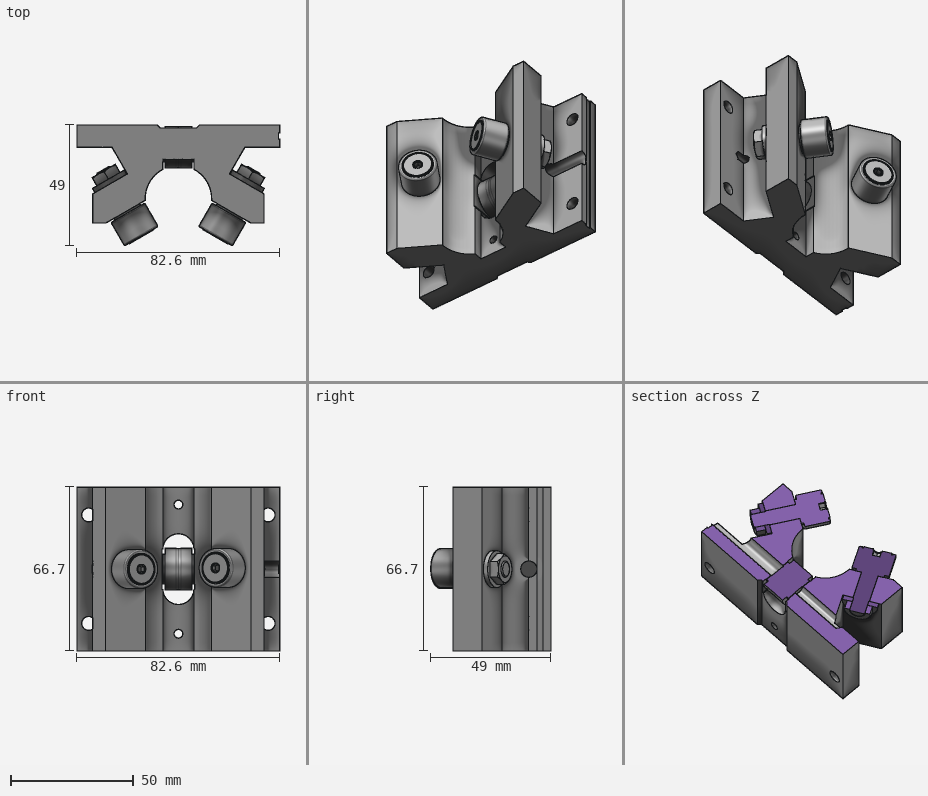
import cadquery as cq
import math


HALF_WIDTH = 41.3
HEIGHT = 66.7
PLATE_THICKNESS = 9.2
FRONT_DEPTH = 39.95
WALL_ROOT_X = 27.0
ARM_HALF_WIDTH = 34.8
ARM_THICKNESS = 13.0
TILT = math.radians(30)
BORE_RADIUS = 13.45
BORE_CENTRE_Y = -30.0
CHANNEL_HALF_WIDTH = 6.3
CHANNEL_FLOOR_Y = -14.0
RELIEF_DEPTH = 1.2
RELIEF_FLOOR_HALF = 7.35

WINDOW_LENGTH = 28.65
POCKET_HALF_WIDTH = 6.6
POCKET_HEIGHT = 16.5
SCREW_HOLE_DIAMETER = 5.5
SCREW_HOLE_X = 36.5
SCREW_HOLE_Z = 22.0
PIN_HOLE_DIAMETER = 3.5
PIN_HOLE_Z = 26.25
AXLE_Y = -9.1
AXLE_CLEARANCE_DIAMETER = 6.6
AXLE_THREAD_DIAMETER = 4.2
AXLE_THREAD_END_X = -30.2
DRILL_POINT_ANGLE = math.radians(118)
LABEL_GROOVE_DEPTH = 0.6
LABEL_GROOVE_WIDTH = 2.6
LABEL_GROOVE_Y = -4.5

FOLLOWER_X = 21.0
FOLLOWER_Y = -35.0
ECCENTRICITY = 0.5
ROLLER_DIAMETER = 15.85
ROLLER_WIDTH = 11.0
ROLLER_FILLET = 0.6
ROLLER_GAP = 0.8
DISC_DIAMETER = 12.05
DISC_OVERHANG = 0.25
DISC_CHAMFER = 0.25
SEAL_GROOVE_DIAMETER = 12.9
SEAL_GROOVE_DEPTH = 0.5
STUD_DIAMETER = 6.7
STUD_CHAMFER = 0.5
STUD_PROTRUSION = 0.5
SOCKET_RIM_DIAMETER = 4.0
SOCKET_RIM_DEPTH = 0.5
SOCKET_FLATS = 3.0
SOCKET_DEPTH = 3.0

WASHER_DIAMETER = 15.0
WASHER_THICKNESS = 2.0
NUT_FLATS = 10.9
NUT_HEIGHT = 3.9

CENTRE_ROLLER_DIAMETER = 17.0
CENTRE_ROLLER_WIDTH = 10.9
CENTRE_GROOVE_WIDTH = 2.15
CENTRE_GROOVE_DEPTH = 0.1
CENTRE_DISC_DIAMETER = 12.1
CENTRE_DISC_WIDTH = 2 * CHANNEL_HALF_WIDTH


def seat_plane(side, distance, z=0.0):
    """Plane square to a follower axis, `distance` behind the front face of the arm."""
    x = FOLLOWER_X + distance * math.sin(TILT)
    y = FOLLOWER_Y + distance * math.cos(TILT)
    return cq.Plane(
        origin=(side * x, y, z),
        xDir=(0, 0, 1),
        normal=(-side * math.sin(TILT), -math.cos(TILT), 0),
    )


def hexagon(plane, flats, height):
    return cq.Workplane(plane).polygon(6, flats / math.cos(math.pi / 6)).extrude(height)


def half_profile():
    """Right half of the housing section as a closed outline in X and Y."""
    slope = math.tan(TILT)
    seat_x = FOLLOWER_X + ARM_THICKNESS * math.sin(TILT)
    seat_y = FOLLOWER_Y + ARM_THICKNESS * math.cos(TILT)
    wall_run = (WALL_ROOT_X - seat_x) * math.cos(TILT) + (seat_y + PLATE_THICKNESS) * math.sin(TILT)
    corner = (seat_x + wall_run * math.cos(TILT), seat_y - wall_run * math.sin(TILT))
    bore_top_y = BORE_CENTRE_Y + math.sqrt(BORE_RADIUS**2 - CHANNEL_HALF_WIDTH**2)
    bore_mid = BORE_RADIUS * math.sin(math.pi / 4)
    return (
        cq.Workplane("XY")
        .moveTo(0, -RELIEF_DEPTH)
        .lineTo(RELIEF_FLOOR_HALF, -RELIEF_DEPTH)
        .lineTo(RELIEF_FLOOR_HALF + RELIEF_DEPTH, 0)
        .lineTo(HALF_WIDTH, 0)
        .lineTo(HALF_WIDTH, -PLATE_THICKNESS)
        .lineTo(WALL_ROOT_X, -PLATE_THICKNESS)
        .lineTo(*corner)
        .lineTo(ARM_HALF_WIDTH, seat_y - (ARM_HALF_WIDTH - seat_x) * slope)
        .lineTo(ARM_HALF_WIDTH, -FRONT_DEPTH)
        .lineTo(FOLLOWER_X + (FRONT_DEPTH + FOLLOWER_Y) / slope, -FRONT_DEPTH)
        .lineTo(BORE_RADIUS, FOLLOWER_Y + (FOLLOWER_X - BORE_RADIUS) * slope)
        .lineTo(BORE_RADIUS, BORE_CENTRE_Y)
        .threePointArc((bore_mid, BORE_CENTRE_Y + bore_mid), (CHANNEL_HALF_WIDTH, bore_top_y))
        .lineTo(CHANNEL_HALF_WIDTH, CHANNEL_FLOOR_Y)
        .lineTo(0, CHANNEL_FLOOR_Y)
        .close()
    )


def make_thread_drilling():
    """Blind drilling along -X with a conical end."""
    radius = AXLE_THREAD_DIAMETER / 2
    tip_x = AXLE_THREAD_END_X - radius / math.tan(DRILL_POINT_ANGLE / 2)
    section = (
        cq.Workplane("XY")
        .moveTo(0, 0)
        .lineTo(0, radius)
        .lineTo(AXLE_THREAD_END_X, radius)
        .lineTo(tip_x, 0)
        .close()
    )
    return section.revolve(360, (0, 0, 0), (1, 0, 0)).translate((0, AXLE_Y, 0))


def make_housing():
    right_half = half_profile().extrude(HEIGHT / 2, both=True)
    body = right_half.union(right_half.mirror("YZ"))

    back = cq.Workplane("XZ")
    screw_holes = (
        back.rect(2 * SCREW_HOLE_X, 2 * SCREW_HOLE_Z, forConstruction=True)
        .vertices()
        .circle(SCREW_HOLE_DIAMETER / 2)
        .extrude(PLATE_THICKNESS)
    )
    pin_holes = (
        back.pushPoints([(0, PIN_HOLE_Z), (0, -PIN_HOLE_Z)])
        .circle(PIN_HOLE_DIAMETER / 2)
        .extrude(FRONT_DEPTH)
    )
    window = back.slot2D(WINDOW_LENGTH, 2 * CHANNEL_HALF_WIDTH, 90).extrude(FRONT_DEPTH)
    body = body.cut(screw_holes).cut(pin_holes).cut(window)

    axle = cq.Workplane("YZ").center(AXLE_Y, 0)
    pocket = back.rect(2 * POCKET_HALF_WIDTH, POCKET_HEIGHT).extrude(FRONT_DEPTH)
    boss_zone = axle.circle(CENTRE_DISC_DIAMETER / 2).extrude(POCKET_HALF_WIDTH, both=True)
    body = body.cut(pocket.cut(boss_zone))

    clearance_hole = axle.circle(AXLE_CLEARANCE_DIAMETER / 2).extrude(HALF_WIDTH)
    body = body.cut(clearance_hole).cut(make_thread_drilling())

    label_groove = cq.Workplane("XY").box(2 * LABEL_GROOVE_DEPTH, LABEL_GROOVE_WIDTH, HEIGHT)
    body = body.cut(label_groove.translate((HALF_WIDTH, LABEL_GROOVE_Y, 0)))

    for side in (-1, 1):
        seat = cq.Workplane(seat_plane(side, ARM_THICKNESS))
        body = body.cut(seat.circle(STUD_DIAMETER / 2).extrude(ARM_THICKNESS))
    return body


def make_follower(side, offset_z):
    """Roller, end discs and stud of one cam follower."""
    roller_end = ROLLER_GAP + ROLLER_WIDTH
    disc_length = roller_end + DISC_OVERHANG
    disc = (
        cq.Workplane(seat_plane(side, 0, offset_z))
        .circle(DISC_DIAMETER / 2)
        .extrude(disc_length)
        .faces("<Y")
        .chamfer(DISC_CHAMFER)
    )
    roller = (
        cq.Workplane(seat_plane(side, -ROLLER_GAP, offset_z))
        .circle(ROLLER_DIAMETER / 2)
        .extrude(ROLLER_WIDTH)
        .edges("%CIRCLE")
        .fillet(ROLLER_FILLET)
    )
    seal_groove = (
        cq.Workplane(seat_plane(side, SEAL_GROOVE_DEPTH - roller_end, offset_z))
        .circle(SEAL_GROOVE_DIAMETER / 2)
        .extrude(SEAL_GROOVE_DEPTH)
    )
    stud_length = ARM_THICKNESS + WASHER_THICKNESS + NUT_HEIGHT + STUD_PROTRUSION
    stud = (
        cq.Workplane(seat_plane(side, stud_length))
        .circle(STUD_DIAMETER / 2)
        .extrude(stud_length)
        .faces(">Y")
        .edges()
        .chamfer(STUD_CHAMFER)
    )
    rim = (
        cq.Workplane(seat_plane(side, SOCKET_RIM_DEPTH - disc_length, offset_z))
        .circle(SOCKET_RIM_DIAMETER / 2)
        .extrude(SOCKET_RIM_DEPTH)
    )
    socket = hexagon(seat_plane(side, SOCKET_DEPTH - disc_length, offset_z), SOCKET_FLATS, SOCKET_DEPTH)
    return roller.cut(seal_groove).union(disc).union(stud).cut(rim).cut(socket)


def make_washer(side):
    plane = seat_plane(side, ARM_THICKNESS + WASHER_THICKNESS)
    return cq.Workplane(plane).circle(WASHER_DIAMETER / 2).circle(STUD_DIAMETER / 2).extrude(WASHER_THICKNESS)


def make_nut(side):
    """Hexagon nut with a 30 degree chamfer around its outer end."""
    plane = seat_plane(side, ARM_THICKNESS + WASHER_THICKNESS + NUT_HEIGHT)
    corner_radius = NUT_FLATS / 2 / math.cos(math.pi / 6)
    flat_radius = NUT_FLATS / 2
    chamfer_drop = (corner_radius - flat_radius) * math.tan(TILT)
    envelope = (
        cq.Workplane(plane)
        .circle(corner_radius)
        .extrude(NUT_HEIGHT)
        .faces(">Y")
        .chamfer(chamfer_drop, corner_radius - flat_radius)
    )
    hole = cq.Workplane(plane).circle(STUD_DIAMETER / 2).extrude(NUT_HEIGHT)
    return hexagon(plane, NUT_FLATS, NUT_HEIGHT).intersect(envelope).cut(hole)


def make_centre_roller():
    """Grooved roller with narrower end discs, turned about an axis along X."""
    outer = CENTRE_ROLLER_DIAMETER / 2
    disc = CENTRE_DISC_DIAMETER / 2
    half = CENTRE_ROLLER_WIDTH / 2
    disc_half = CENTRE_DISC_WIDTH / 2
    groove_half = CENTRE_GROOVE_WIDTH / 2
    section = (
        cq.Workplane("XY")
        .moveTo(-disc_half, 0)
        .lineTo(-disc_half, disc)
        .lineTo(-half, disc)
        .lineTo(-half, outer)
        .lineTo(-groove_half, outer)
        .lineTo(0, outer - CENTRE_GROOVE_DEPTH)
        .lineTo(groove_half, outer)
        .lineTo(half, outer)
        .lineTo(half, disc)
        .lineTo(disc_half, disc)
        .lineTo(disc_half, 0)
        .close()
    )
    roller = section.revolve(360, (0, 0, 0), (1, 0, 0))
    return roller.translate((0, AXLE_Y, 0))


housing = make_housing()
centre_roller = make_centre_roller()
followers = [make_follower(-1, 0), make_follower(1, ECCENTRICITY)]
washers = [make_washer(side) for side in (-1, 1)]
nuts = [make_nut(side) for side in (-1, 1)]

bodies = [housing, centre_roller, *followers, *washers, *nuts]
result = cq.Compound.makeCompound([body.val() for body in bodies])